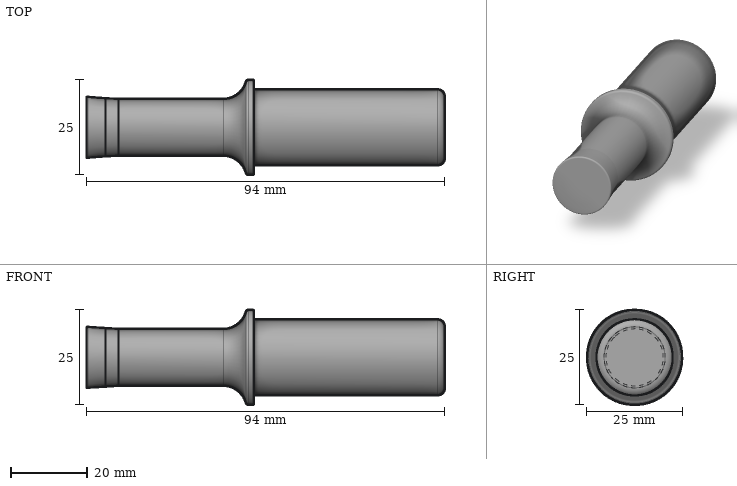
import cadquery as cq
import math

total_length = 94.0
handle_diameter = 20.0
handle_length = 50.0
handle_end_round = 2.0
neck_diameter = 15.0
flange_diameter = 25.0
flange_front_round = 0.75
flange_back_round = 0.5
neck_straight_end = 36.0
neck_fillet = 6.0
cap_diameter = 16.1
cap_tip_round = 0.4
cap_length = 8.4
cap_socket_floor = 5.0

neck_radius = neck_diameter / 2
handle_radius = handle_diameter / 2
flange_radius = flange_diameter / 2
cap_radius = cap_diameter / 2
flange_back = total_length - handle_length
end_round_center_x = total_length - handle_end_round
end_round_center_r = handle_radius - handle_end_round

fillet_center_r = neck_radius + neck_fillet
rim_front_center_r = flange_radius - flange_front_round
center_drop = fillet_center_r - rim_front_center_r
center_distance = neck_fillet + flange_front_round
rim_front_center_x = neck_straight_end + math.sqrt(center_distance**2 - center_drop**2)
rim_back_center_x = flange_back - flange_back_round
rim_back_center_r = flange_radius - flange_back_round
blend_angle = math.asin(center_drop / center_distance)


def arc_point(center_x, center_r, radius, angle):
    """Point on an arc of the half profile, angle measured from the +X direction."""
    return (center_x + radius * math.cos(angle), center_r + radius * math.sin(angle))


def revolve_about_x(profile):
    return profile.close().revolve(360, (0, 0, 0), (1, 0, 0))


def make_handle():
    """Neck, flange and grip turned in one piece."""
    fillet_mid_angle = -(math.pi / 2 + blend_angle) / 2
    rim_front_mid_angle = (math.pi / 2 + math.pi - blend_angle) / 2
    profile = (
        cq.Workplane("XZ")
        .moveTo(cap_socket_floor, 0)
        .lineTo(cap_socket_floor, neck_radius)
        .lineTo(neck_straight_end, neck_radius)
        .threePointArc(
            arc_point(neck_straight_end, fillet_center_r, neck_fillet, fillet_mid_angle),
            arc_point(neck_straight_end, fillet_center_r, neck_fillet, -blend_angle),
        )
        .threePointArc(
            arc_point(rim_front_center_x, rim_front_center_r, flange_front_round, rim_front_mid_angle),
            (rim_front_center_x, flange_radius),
        )
        .lineTo(rim_back_center_x, flange_radius)
        .threePointArc(
            arc_point(rim_back_center_x, rim_back_center_r, flange_back_round, math.pi / 4),
            (flange_back, rim_back_center_r),
        )
        .lineTo(flange_back, handle_radius)
        .lineTo(end_round_center_x, handle_radius)
        .threePointArc(
            arc_point(end_round_center_x, end_round_center_r, handle_end_round, math.pi / 4),
            (total_length, end_round_center_r),
        )
        .lineTo(total_length, 0)
    )
    return revolve_about_x(profile)


def make_cap():
    """Tapered cap over the neck end; its wall runs out to nothing at the neck surface."""
    profile = (
        cq.Workplane("XZ")
        .moveTo(0, 0)
        .lineTo(0, cap_radius)
        .lineTo(cap_length, neck_radius)
        .lineTo(cap_socket_floor, neck_radius)
        .lineTo(cap_socket_floor, 0)
    )
    return revolve_about_x(profile).faces("<X").edges().fillet(cap_tip_round)


handle = make_handle()
cap = make_cap()

result = cq.Compound.makeCompound([handle.val(), cap.val()])